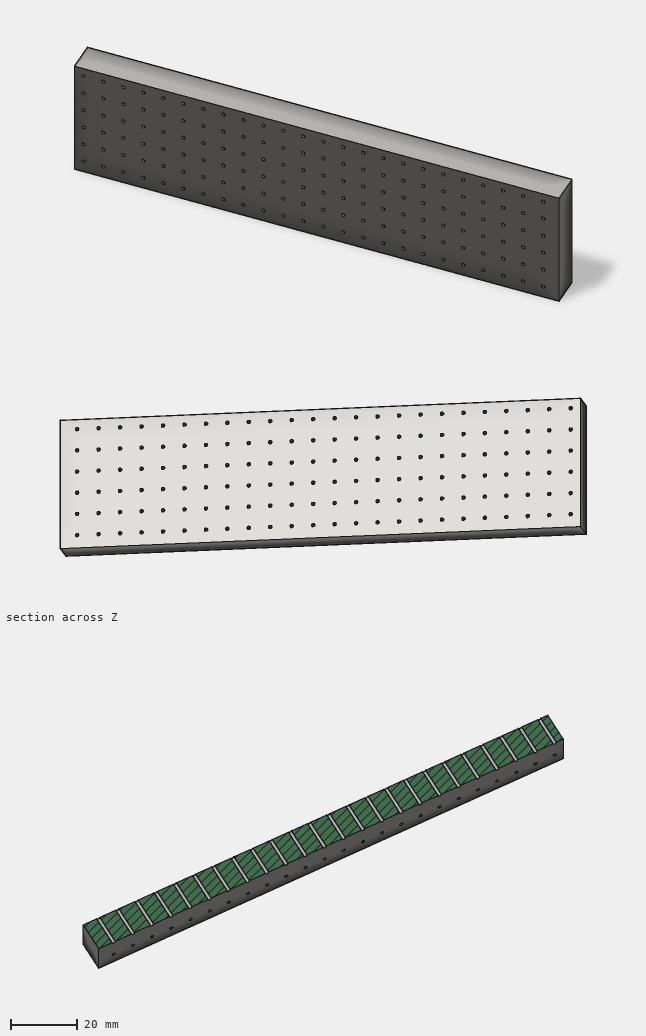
import cadquery as cq

plate_length = 160.0
plate_thickness = 10.0
plate_height = 40.0

hole_diameter = 1.0
hole_pitch = 6.6
hole_columns = 24
hole_rows = 6
first_hole_from_left = 3.0
first_hole_from_top = 3.0


def make_plate():
    """Solid plate with its broad faces normal to Y."""
    return cq.Workplane("XY").box(plate_length, plate_thickness, plate_height, centered=False)


def make_hole_pins():
    """Cylinders along Y, one for each hole, spanning the plate thickness."""
    centers = []
    for row in range(hole_rows):
        z = plate_height - first_hole_from_top - row * hole_pitch
        for column in range(hole_columns):
            x = first_hole_from_left + column * hole_pitch
            centers.append((x, z))
    return (
        cq.Workplane("XZ")
        .pushPoints(centers)
        .circle(hole_diameter / 2)
        .extrude(-plate_thickness)
    )


result = make_plate().cut(make_hole_pins())